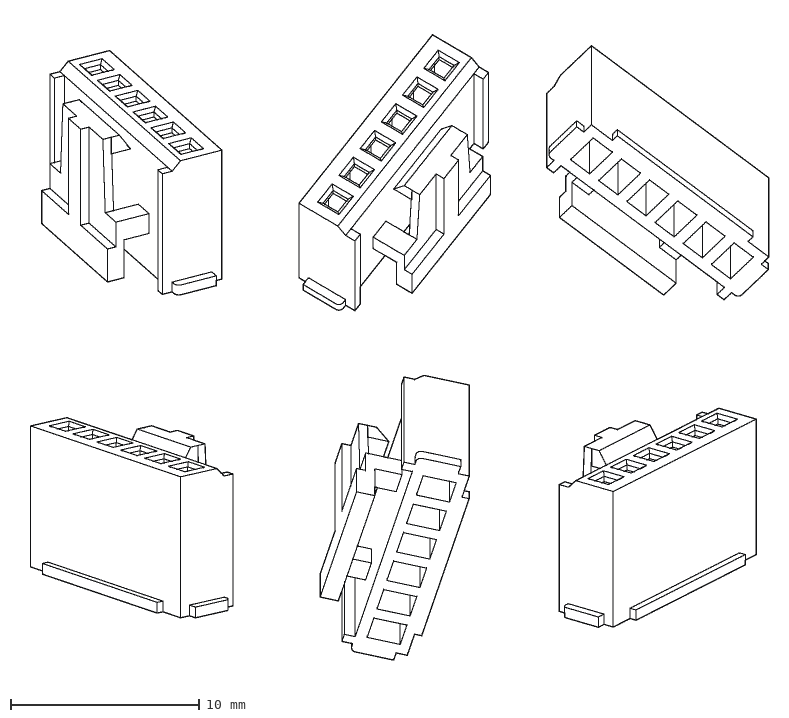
import cadquery as cq


overall_length = 13.6
height = 7.8
housing_length = 12.6
housing_depth = 3.0
front_chamfer = 0.5

cavity_count = 6
cavity_pitch = 2.0
cavity_y = 1.54
throat_width = 0.95
throat_length = 0.3
mouth_width = 1.36
mouth_depth = (mouth_width - throat_width) / 2
chamber_length = 1.36
chamber_depth = 1.82

tab_height = 0.6
side_tab_depth = 2.4
side_tab_radius = 0.29
back_tab_length = 9.63
back_tab_depth = 0.4
post_width = 0.5
post_depth = 0.6

latch_length = 7.4
latch_outer = 2.5
latch_plate_outer = 2.0
latch_inner = 1.5
latch_base_height = 2.0
latch_rib_width = 1.39
arm_bottom = 2.3
arm_top = 3.5
lever_bottom_width = 5.0
lever_top_width = 4.49
hook_height = 1.0
hook_top_reach = 1.0
hook_tip_reach = 0.33


def block(x_range, y_range, z_range):
    """Box spanning the given (low, high) limits along each axis."""
    spans = [high - low for low, high in (x_range, y_range, z_range)]
    corner = (x_range[0], y_range[0], z_range[0])
    return cq.Workplane("XY").box(*spans, centered=False).translate(corner)


def centred_block(length, y_range, z_range):
    """Box symmetric about X = 0."""
    return block((-length / 2, length / 2), y_range, z_range)


def make_housing():
    body = centred_block(housing_length, (0, housing_depth), (0, height))
    return body.edges("<Y and >Z").chamfer(front_chamfer)


def make_base_tabs():
    side_tabs = centred_block(overall_length, (0, side_tab_depth), (0, tab_height))
    side_tabs = side_tabs.edges("|Z and <Y").fillet(side_tab_radius)
    back_edge = housing_depth + back_tab_depth
    back_tab = centred_block(back_tab_length, (0, back_edge), (0, tab_height))
    return side_tabs.union(back_tab)


def make_posts():
    """Pair of strips at the front corners, rising to the foot of the chamfer."""
    post_x = (housing_length / 2 - post_width, housing_length / 2)
    post = block(post_x, (-post_depth, 0), (0, height - front_chamfer))
    return post.union(post.mirror("YZ"))


def make_latch_plate():
    """Stepped plate whose upper lever narrows towards the top, with a raised base and rib."""
    half_base = latch_length / 2
    half_low = lever_bottom_width / 2
    half_top = lever_top_width / 2
    right_side = [(half_base, 0), (half_base, arm_top), (half_low, arm_top), (half_top, height)]
    left_side = [(-x, z) for x, z in reversed(right_side)]
    plate = (
        cq.Workplane("XZ", origin=(0, -latch_inner, 0))
        .polyline(right_side + left_side)
        .close()
        .extrude(latch_plate_outer - latch_inner)
    )
    raised_y = (-latch_outer, -latch_plate_outer)
    base = centred_block(latch_length, raised_y, (0, latch_base_height))
    rib = centred_block(latch_rib_width, raised_y, (0, height))
    return plate.union(base).union(rib)


def make_latch_arms():
    """Pair of arms joining the latch plate to the front wall."""
    arm_x = (lever_bottom_width / 2, latch_length / 2)
    arm = block(arm_x, (-latch_plate_outer, 0), (arm_bottom, arm_top))
    return arm.union(arm.mirror("YZ"))


def make_hook():
    """Sharp-edged catch on the inner face of the lever."""
    hook_bottom = height - hook_height
    return (
        cq.Workplane("YZ")
        .moveTo(-latch_inner, hook_bottom)
        .lineTo(-hook_tip_reach, hook_bottom)
        .lineTo(-hook_top_reach, height)
        .lineTo(-latch_inner, height)
        .close()
        .extrude(lever_top_width / 2, both=True)
    )


def make_cavities():
    """Row of cavities: a tapered mouth, a square throat and a wider chamber open at the base."""
    chamber_top = height - mouth_depth - throat_length
    mouth = (
        cq.Workplane("XY", origin=(0, 0, height))
        .rect(mouth_width, mouth_width)
        .workplane(offset=-mouth_depth)
        .rect(throat_width, throat_width)
        .loft()
    )
    half_throat = throat_width / 2
    throat = centred_block(throat_width, (-half_throat, half_throat), (0, height - mouth_depth))
    chamber = centred_block(chamber_length, (-chamber_depth / 2, chamber_depth / 2), (0, chamber_top))
    cavity = mouth.union(throat).union(chamber)

    row_length = (cavity_count - 1) * cavity_pitch
    centres = [(i * cavity_pitch - row_length / 2, cavity_y) for i in range(cavity_count)]
    cavities = cq.Workplane("XY")
    for x, y in centres:
        cavities = cavities.add(cavity.translate((x, y, 0)))
    return cavities.combine()


result = (
    make_housing()
    .union(make_base_tabs())
    .union(make_posts())
    .union(make_latch_arms())
    .union(make_latch_plate())
    .union(make_hook())
    .cut(make_cavities())
)